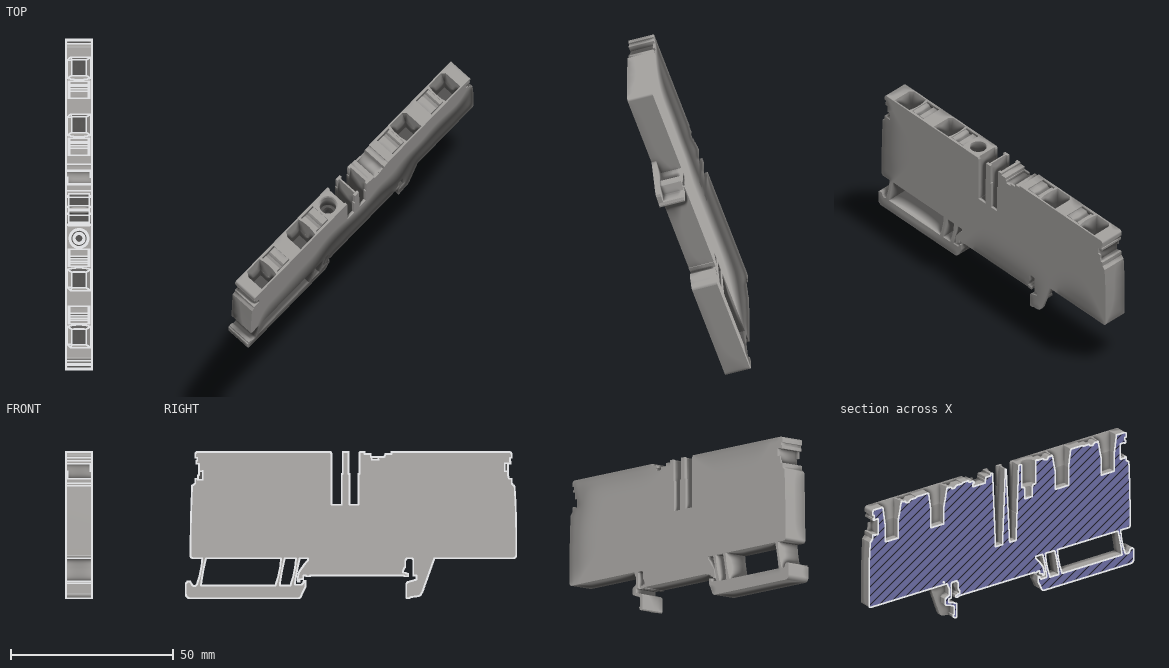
import cadquery as cq


THICKNESS = 8.1
LENGTH = 101.77
HEIGHT = 45.15

SIDE = THICKNESS / 2
END = LENGTH / 2
BODY_BOTTOM = 12.35
RAIL_SEAT = 7.05
FOOT_TOP = 4.0
SLOT_FLOOR = 28.9
SLOT_STEP = 38.35
MIRROR_Y = 0.7
TEST_HOLE_Y = -10.4
ENTRY_PITCH = 17.55
STOP = 0.55
OVERLAP = 0.5


def prism(points, x_min=-SIDE, x_max=SIDE):
    """Closed (Y, Z) polygon extruded from x_min to x_max."""
    return cq.Workplane("YZ", origin=(x_min, 0, 0)).polyline(points).close().extrude(x_max - x_min)


def block(x_min, x_max, y_min, y_max, z_min, z_max):
    size = (x_max - x_min, y_max - y_min, z_max - z_min)
    return cq.Workplane("XY").box(*size, centered=False).translate((x_min, y_min, z_min))


def mirrored(shape):
    """Copy on the other side of the symmetry plane of the wire entries."""
    return shape.mirror("XZ", (0, MIRROR_Y, 0))


def make_housing():
    corner = 0.9
    top_corner = 0.9
    minus_end = -49.45
    plus_lip = 49.5
    minus_lip = -48.0
    top_lip = 44.5
    groove_bed = 43.55
    nose = 6.8
    return (
        cq.Workplane("YZ", origin=(-SIDE, 0, 0))
        .moveTo(END - corner, BODY_BOTTOM)
        .radiusArc((END, BODY_BOTTOM + corner), -corner)
        .lineTo(END, 20.0)
        .threePointArc((50.75, 28.0), (50.4, 34.4))
        .polyline([
            (plus_lip, 35.4), (plus_lip, 36.85), (48.65, 36.85),
            (48.35, 38.0), (48.35, 41.45), (49.25, 41.45), (49.25, 42.15), (48.95, 42.15),
            (48.95, 43.25), (plus_lip, 43.25), (plus_lip, HEIGHT - top_corner),
        ], includeCurrent=True)
        .radiusArc((plus_lip - top_corner, HEIGHT), -top_corner)
        .polyline([
            (12.4, HEIGHT), (12.4, top_lip), (10.6, top_lip), (10.2, groove_bed), (6.1, groove_bed),
            (6.1, top_lip), (4.2, top_lip), (4.2, HEIGHT), (minus_lip + top_corner, HEIGHT),
        ], includeCurrent=True)
        .radiusArc((minus_lip, HEIGHT - top_corner), -top_corner)
        .polyline([
            (minus_lip, 43.25), (-47.4, 43.25), (-47.4, 42.4), (-47.7, 42.4), (-47.7, 41.4), (-46.8, 41.4),
            (-46.8, 38.1), (-47.1, 37.9), (-47.1, 36.85), (minus_lip, 36.85), (minus_lip, 35.4),
            (-48.95, 34.7),
        ], includeCurrent=True)
        .threePointArc((-49.35, 23.0), (minus_end, BODY_BOTTOM + corner))
        .radiusArc((minus_end + corner, BODY_BOTTOM), -corner)
        .polyline([
            (-13.3, BODY_BOTTOM), (-13.3, 11.7), (-14.3, 10.6), (-15.5, 8.9), (-16.1, 8.0),
            (-16.4, 6.5), (-16.4, 5.2), (-15.8, 5.2), (-15.8, 5.85), (-14.65, 5.95),
            (-14.65, RAIL_SEAT), (-13.8, RAIL_SEAT), (-13.8, nose), (-12.6, nose), (-12.6, RAIL_SEAT),
            (16.3, RAIL_SEAT), (16.4, nose), (17.65, nose), (17.65, 7.65), (16.9, 7.7), (16.8, 7.95),
            (16.05, 7.95), (16.1, 8.7), (16.75, 9.8), (16.75, 11.7), (17.2, BODY_BOTTOM),
        ], includeCurrent=True)
        .close()
        .extrude(THICKNESS)
    )


def jumper_slots():
    """Two slots through the full thickness, stepped wider towards the top."""
    cutter = prism([
        (2.3, SLOT_FLOOR), (2.3, SLOT_STEP), (2.6, SLOT_STEP), (2.6, 44.9), (2.8, HEIGHT),
        (-0.75, HEIGHT), (-0.75, SLOT_STEP), (-0.45, SLOT_STEP), (-0.45, SLOT_FLOOR),
    ])
    cutter = cutter.union(prism([
        (-2.9, SLOT_FLOOR), (-2.9, SLOT_STEP), (-2.6, SLOT_STEP), (-2.6, HEIGHT),
        (-6.3, HEIGHT), (-6.0, 44.5), (-6.0, SLOT_FLOOR),
    ]))
    flange_x = 3.2
    trough_floor = 20.0
    trough_edges = ((3.3, -1.4, 2.2, -0.3), (-1.9, -6.5, -3.2, -5.5))
    for top_start, top_end, floor_start, floor_end in trough_edges:
        trough = [
            (top_start, HEIGHT), (top_end, HEIGHT), (floor_end, trough_floor), (floor_start, trough_floor),
        ]
        cutter = cutter.union(prism(trough, -flange_x, flange_x))
    return cutter


def top_marker_track():
    floor, rim = 42.65, 43.55
    start, split, finish = 6.4, 8.4, 10.85
    minus_half = block(-SIDE, SIDE - STOP, split, finish, floor, rim)
    plus_half = block(-SIDE + STOP, SIDE, start, split, floor, rim)
    return minus_half.union(plus_half)


def end_marker_tracks():
    low, split, high = 36.5, 39.2, 41.6
    plus_y_floor, plus_y_rim = 47.4, 48.7
    minus_y_floor, minus_y_rim = -45.6, -47.2
    open_to_minus_x = (-SIDE, SIDE - STOP)
    open_to_plus_x = (-SIDE + STOP, SIDE)
    cutter = block(*open_to_minus_x, plus_y_floor, plus_y_rim, low, split)
    cutter = cutter.union(block(*open_to_plus_x, plus_y_floor, plus_y_rim, split, high))
    cutter = cutter.union(block(*open_to_minus_x, minus_y_rim, minus_y_floor, split, high))
    return cutter.union(block(*open_to_plus_x, minus_y_rim, minus_y_floor, low, split))


def wire_entry():
    """Funnel with a bowed wall on the lever side, leading into a rectangular shaft."""
    funnel_depth = 6.0
    shaft_floor = HEIGHT - 12.0
    half_width = 3.6
    near, bow, far = 38.9, 38.4, 45.4
    cut_corner = 1.0
    shaft_half_width = 2.3
    shaft_near, shaft_far = 39.7, 44.55
    shaft_cut_corner = 0.1
    shaft_bow = 0.02
    funnel = (
        cq.Workplane("XY", origin=(0, 0, HEIGHT))
        .moveTo(-half_width, near)
        .threePointArc((0, bow), (half_width, near))
        .lineTo(half_width, far)
        .lineTo(-half_width + cut_corner, far)
        .lineTo(-half_width, far - cut_corner)
        .close()
        .workplane(offset=-funnel_depth)
        .moveTo(-shaft_half_width, shaft_near)
        .threePointArc((0, shaft_near - shaft_bow), (shaft_half_width, shaft_near))
        .lineTo(shaft_half_width, shaft_far)
        .lineTo(-shaft_half_width + shaft_cut_corner, shaft_far)
        .lineTo(-shaft_half_width, shaft_far - shaft_cut_corner)
        .close()
        .loft(ruled=True)
    )
    shaft = block(
        -shaft_half_width, shaft_half_width, shaft_near, shaft_far,
        shaft_floor, HEIGHT - funnel_depth,
    )
    return funnel.union(shaft)


def lever_pocket():
    """Shallow pocket around a lever that carries one cross groove."""
    pocket_half_width = 3.3
    lever_half_width = 2.9
    start, finish = 32.7, 38.0
    gap_floor = HEIGHT - 1.6
    lever_top = HEIGHT - 0.3
    groove_floor = HEIGHT - 1.0
    pocket = block(-pocket_half_width, pocket_half_width, start, finish, gap_floor, HEIGHT)
    lever = prism([
        (start, gap_floor), (finish, gap_floor), (finish, lever_top), (36.95, lever_top),
        (36.4, groove_floor), (35.6, groove_floor), (34.9, lever_top), (start, lever_top),
    ], -lever_half_width, lever_half_width)
    return pocket.cut(lever)


def all_wire_entries():
    outer = wire_entry().union(lever_pocket())
    pair = outer.union(outer.translate((0, -ENTRY_PITCH, 0)))
    return pair.union(mirrored(pair))


def test_hole():
    """Round test-plug hole: chamfered bore with a smaller coned hole in its floor."""
    rim_radius, bore_radius = 2.95, 2.6
    bore_floor = HEIGHT - 8.0
    cone_radius, pilot_radius = 1.75, 1.3
    cone_depth = 0.8
    pilot_floor = bore_floor - 4.0
    rim_depth = rim_radius - bore_radius
    hole = (
        cq.Workplane("XZ")
        .polyline([
            (0, HEIGHT), (rim_radius, HEIGHT), (bore_radius, HEIGHT - rim_depth),
            (bore_radius, bore_floor), (cone_radius, bore_floor),
            (pilot_radius, bore_floor - cone_depth), (pilot_radius, pilot_floor), (0, pilot_floor),
        ])
        .close()
        .revolve(360, (0, 0, 0), (0, 1, 0))
    )
    return hole.translate((0, TEST_HOLE_Y, 0))


def strut(top_y):
    """Curved leg from the housing to the foot; top_y is its +Y edge at the housing."""
    top_width = 1.2
    foot_shift = 1.55
    foot_width = 1.4
    base_y = top_y - foot_shift
    base = FOOT_TOP - OVERLAP
    root = BODY_BOTTOM + OVERLAP
    return (
        cq.Workplane("YZ", origin=(-SIDE, 0, 0))
        .moveTo(top_y, root)
        .lineTo(top_y, BODY_BOTTOM)
        .threePointArc((top_y - 0.95, 8.0), (base_y, FOOT_TOP))
        .lineTo(base_y, base)
        .lineTo(base_y - foot_width, base)
        .lineTo(base_y - foot_width, FOOT_TOP)
        .threePointArc((top_y - 1.8, 8.0), (top_y - top_width, BODY_BOTTOM))
        .lineTo(top_y - top_width, root)
        .close()
        .extrude(THICKNESS)
    )


def make_foot():
    corner = 1.4
    rim = 5.25
    rim_corner = 0.5
    foot = (
        cq.Workplane("YZ", origin=(-SIDE, 0, 0))
        .moveTo(-16.3, 0)
        .lineTo(-END + corner, 0)
        .radiusArc((-END, corner), corner)
        .lineTo(-END, rim - rim_corner)
        .radiusArc((-END + rim_corner, rim), -rim_corner)
        .lineTo(-49.5, rim)
        .lineTo(-49.05, 4.5)
        .threePointArc((-48.3, 3.85), (-47.45, 4.3))
        .polyline([
            (-46.9, FOOT_TOP), (-18.4, FOOT_TOP), (-17.3, 4.4), (-17.1, 4.25), (-15.2, 4.25),
            (-14.75, 4.8), (-14.55, 5.4), (-13.95, 5.5), (-13.95, 3.6), (-14.8, 2.0), (-15.2, 1.0),
        ], includeCurrent=True)
        .threePointArc((-15.6, 0.35), (-16.3, 0))
        .close()
        .extrude(THICKNESS)
    )
    strut_tops = (-15.75, -20.35, -44.6)
    for top_y in strut_tops:
        foot = foot.union(strut(top_y))
    return foot


def make_latch():
    """Full-width bent strip, stiffened by a thin web along the +X face."""
    root = BODY_BOTTOM + OVERLAP
    strip = prism([
        (20.9, root), (20.9, BODY_BOTTOM), (20.45, 11.3), (20.1, 10.7), (20.1, 8.5), (20.4, 8.1),
        (21.0, 7.95), (21.6, 7.4), (21.6, 5.6), (21.2, 5.2), (18.45, 4.3), (18.25, 4.0),
        (18.25, 1.3), (18.55, 1.1), (18.5, 0.4), (17.7, 0), (17.2, 0), (17.0, 0.3), (17.0, 4.6),
        (17.4, 5.05), (20.1, 5.85), (20.1, RAIL_SEAT), (19.15, RAIL_SEAT), (19.15, 12.0),
        (18.8, BODY_BOTTOM), (18.8, root),
    ])
    web_thickness = 1.5
    web = prism([
        (25.7, root), (25.7, BODY_BOTTOM), (22.0, 2.0), (21.4, 1.0), (20.6, 0.65), (17.8, 0.3),
        (17.8, 4.5), (20.9, 5.8), (20.9, 7.4), (19.7, 8.2), (19.7, root),
    ], SIDE - web_thickness, SIDE)
    return strip.union(web)


result = (
    make_housing()
    .cut(jumper_slots())
    .cut(top_marker_track())
    .cut(end_marker_tracks())
    .cut(all_wire_entries())
    .cut(test_hole())
    .union(make_foot())
    .union(make_latch())
)